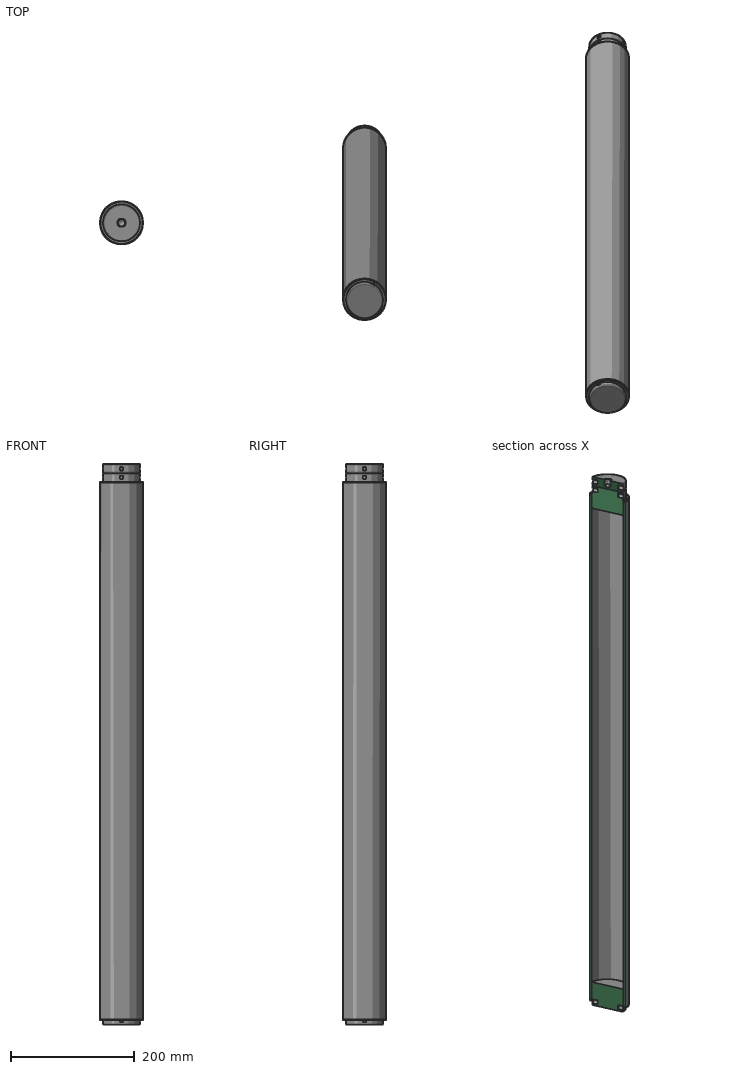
import cadquery as cq
import math

TOTAL_LENGTH = 907.5
TUBE_DIAMETER = 70.0
PLUG_DIAMETER = 60.0

JOINT_RADIUS = 2.0
PLUG_LENGTH = 40.0
CAP_HEIGHT = 15.0
CAP_EDGE_RADIUS = 1.5
RADIAL_HOLE_DIAMETER = 6.0
RADIAL_HOLE_DEPTH = 10.0
RADIAL_HOLE_OFFSET = 7.0
RADIAL_HOLE_ANGLES = (0, 90, 180, 270)

BORE_DIAMETER = 11.5
BORE_DEPTH = 9.5
BORE_CHAMFER = 1.0
DRILL_POINT_ANGLE = 118.0

RING_THICKNESS = 2.0
RING_CHAMFER = 1.0
BOTTOM_RING_Z = 7.0
TOP_RING_DROP = 28.8

JOINT_Z = TOTAL_LENGTH - CAP_HEIGHT
TOP_RING_Z = TOTAL_LENGTH - TOP_RING_DROP - RING_THICKNESS
TUBE_BOTTOM_Z = BOTTOM_RING_Z + RING_THICKNESS


def cylinder(diameter, bottom_z, height):
    return cq.Workplane("XY").workplane(offset=bottom_z).circle(diameter / 2).extrude(height)


def drill_radial_holes(body, hole_z):
    """Cut blind holes into the round side of a plug or cap, all at one height."""
    floor_radius = PLUG_DIAMETER / 2 - RADIAL_HOLE_DEPTH
    for angle in RADIAL_HOLE_ANGLES:
        drill = (
            cq.Workplane("XZ", origin=(0, -floor_radius, hole_z))
            .circle(RADIAL_HOLE_DIAMETER / 2)
            .extrude(2 * RADIAL_HOLE_DEPTH)
            .rotate((0, 0, 0), (0, 0, 1), angle)
        )
        body = body.cut(drill)
    return body


def make_tube():
    length = TOP_RING_Z - TUBE_BOTTOM_Z
    outside = cylinder(TUBE_DIAMETER, TUBE_BOTTOM_Z, length)
    return outside.cut(cylinder(PLUG_DIAMETER, TUBE_BOTTOM_Z, length))


def make_ring(bottom_z, outer_face):
    """Ring on a tube end, chamfered around the face that points away from the tube."""
    ring = cylinder(TUBE_DIAMETER, bottom_z, RING_THICKNESS)
    ring = ring.faces(outer_face).edges().chamfer(RING_CHAMFER)
    return ring.cut(cylinder(PLUG_DIAMETER, bottom_z, RING_THICKNESS))


def make_plug(joint_z, direction):
    """Plug running from its joint face into the tube; direction is +1 up or -1 down."""
    joint_face = "<Z" if direction > 0 else ">Z"
    bottom_z = min(joint_z, joint_z + direction * PLUG_LENGTH)
    plug = cylinder(PLUG_DIAMETER, bottom_z, PLUG_LENGTH)
    plug = plug.faces(joint_face).edges().fillet(JOINT_RADIUS)
    return drill_radial_holes(plug, joint_z + direction * RADIAL_HOLE_OFFSET)


def make_bore():
    """Drill shape: chamfered mouth, straight wall and a conical point."""
    radius = BORE_DIAMETER / 2
    point_depth = radius / math.tan(math.radians(DRILL_POINT_ANGLE / 2))
    straight_end_z = TOTAL_LENGTH - BORE_DEPTH
    return (
        cq.Workplane("XZ")
        .moveTo(0, straight_end_z - point_depth)
        .lineTo(radius, straight_end_z)
        .lineTo(radius, TOTAL_LENGTH - BORE_CHAMFER)
        .lineTo(radius + BORE_CHAMFER, TOTAL_LENGTH)
        .lineTo(0, TOTAL_LENGTH)
        .close()
        .revolve(360, (0, 0, 0), (0, 1, 0))
    )


def make_cap():
    cap = cylinder(PLUG_DIAMETER, JOINT_Z, CAP_HEIGHT)
    cap = cap.faces("<Z").edges().fillet(JOINT_RADIUS)
    cap = cap.faces(">Z").edges().fillet(CAP_EDGE_RADIUS)
    cap = cap.cut(make_bore())
    return drill_radial_holes(cap, JOINT_Z + RADIAL_HOLE_OFFSET)


tube = make_tube()
top_ring = make_ring(TOP_RING_Z, ">Z")
bottom_ring = make_ring(BOTTOM_RING_Z, "<Z")
top_plug = make_plug(JOINT_Z, -1)
bottom_plug = make_plug(0, 1)
cap = make_cap()

bodies = [tube, top_ring, bottom_ring, top_plug, bottom_plug, cap]
result = cq.Compound.makeCompound([body.val() for body in bodies])